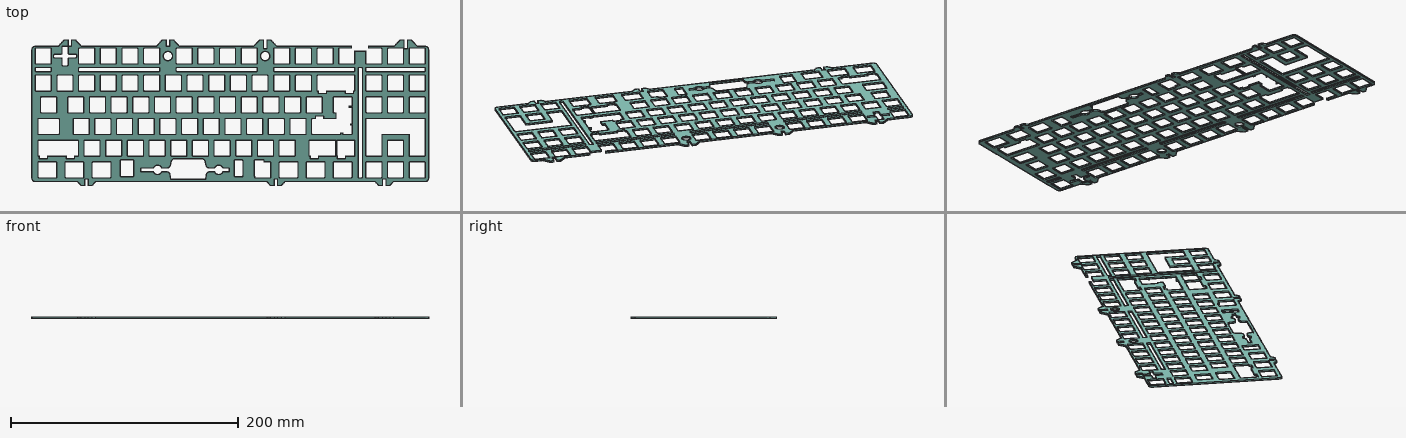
import cadquery as cq


length = 348.5
depth = 128.0
thickness = 1.5
plate_corner = 3.0
top_tab_height = 5.5
bottom_tab_height = 3.4

plate_right = length / 2
plate_left = -plate_right
tab_top = depth / 2
tab_bottom = -tab_top
plate_top = tab_top - top_tab_height
plate_bottom = tab_bottom + bottom_tab_height

first_key_x = -164.2
last_key_x = 164.2
last_column = 17 + 1 / 4
pitch = (last_key_x - first_key_x) / last_column
key_size = 14.0
half_key = key_size / 2
key_corner = 0.5

bottom_row = -50.2
shift_row = bottom_row + pitch
home_row = shift_row + pitch
tab_row = home_row + pitch
number_row = tab_row + pitch
function_row = number_row + (1 + 1 / 4) * pitch

navigation_columns = [last_column - 2, last_column - 1, last_column]

stabilizer_offset = 12.0
stabilizer_width = 7.0
stabilizer_reach = 9.0
flex_slot_width = 3.5


def column_x(column):
    return first_key_x + column * pitch


def block(x_min, x_max, y_min, y_max):
    """A through-plate box between the given sides."""
    return (
        cq.Workplane("XY")
        .box(x_max - x_min, y_max - y_min, thickness, centered=False)
        .translate((x_min, y_min, 0))
    )


def opening(x_min, x_max, y_min, y_max):
    """A rectangular cutter with rounded corners."""
    return block(x_min, x_max, y_min, y_max).edges("|Z").fillet(key_corner)


def key_opening(first, row, last=None):
    """One key opening, or one stretched to serve every key position from first to last."""
    last = first if last is None else last
    return opening(
        column_x(first) - half_key,
        column_x(last) + half_key,
        row - half_key,
        row + half_key,
    )


def disc(x, y, diameter):
    return cq.Workplane("XY").center(x, y).circle(diameter / 2).extrude(thickness)


def stabilizer_notch(x, row, direction):
    """A notch beside a key opening, reaching up (+1) or down (-1) from the row centre."""
    half = stabilizer_width / 2
    y_end = row + direction * stabilizer_reach
    return block(x - half, x + half, min(row, y_end), max(row, y_end))


def stabilizer_pair(column, row):
    x = column_x(column)
    return [stabilizer_notch(x + side * stabilizer_offset, row, -1) for side in (-1, 1)]


tab_tip_width = 9.8
tab_base_width = 20.2
bottom_tab_base_width = 16.0
tab_slot_width = 2.8
short_slot = top_tab_height
long_slot = 7.5
bottom_slot = 5.5
first_tab_x = -141.0
second_tab_x = -54.7
third_tab_x = 30.7
fourth_tab_x = 154.0
top_tabs = [
    (first_tab_x, short_slot),
    (second_tab_x, short_slot),
    (third_tab_x, long_slot),
    (fourth_tab_x, long_slot),
]
bottom_tab_centers = [-126.2, 40.0, 135.3]


def mounting_tab(x, base_y, tip_y, base_width):
    return (
        cq.Workplane("XY")
        .polyline([
            (x - base_width / 2, base_y),
            (x - tab_tip_width / 2, tip_y),
            (x + tab_tip_width / 2, tip_y),
            (x + base_width / 2, base_y),
        ])
        .close()
        .extrude(thickness)
    )


def tab_slot(x, y_min, y_max):
    half = tab_slot_width / 2
    return block(x - half, x + half, y_min, y_max)


plate = block(plate_left, plate_right, plate_bottom, plate_top).edges("|Z").fillet(plate_corner)
cutters = []

for tab_x, slot_depth in top_tabs:
    plate = plate.union(mounting_tab(tab_x, plate_top, tab_top, tab_base_width))
    cutters.append(tab_slot(tab_x, tab_top - slot_depth, tab_top))
for tab_x in bottom_tab_centers:
    plate = plate.union(mounting_tab(tab_x, plate_bottom, tab_bottom, bottom_tab_base_width))
    cutters.append(tab_slot(tab_x, tab_bottom, tab_bottom + bottom_slot))

key_rows = [
    (function_row, [0, 2, 3, 4, 5, 6.5, 7.5, 8.5, 9.5, 11, 12, 13, 14] + navigation_columns),
    (number_row, list(range(13)) + navigation_columns),
    (tab_row, [1 / 4] + [1.5 + n for n in range(12)] + navigation_columns),
    (home_row, [1 + 3 / 4 + n for n in range(11)]),
    (shift_row, [2 + 1 / 4 + n for n in range(10)] + [navigation_columns[1]]),
    (bottom_row, [10 + 1 / 8] + navigation_columns),
]
for row, columns in key_rows:
    cutters += [key_opening(column, row) for column in columns]

size_step = 1 / 8
for column in [1 / 8, 1 + 3 / 8, 2 + 5 / 8, 11 + 1 / 4, 12 + 1 / 2, 13 + 3 / 4]:
    cutters.append(key_opening(column, bottom_row, column + size_step))

backspace_column = 13.5
caps_lock_columns = (1 / 8, 3 / 8)
cutters.append(key_opening(caps_lock_columns[0], home_row, caps_lock_columns[1]))
cutters.append(key_opening(backspace_column - 0.5, number_row, backspace_column + 0.5))
cutters += stabilizer_pair(backspace_column, number_row)
left_shift_first = 1 / 8
left_shift_last = 1 + 1 / 4
left_shift_column = 5 / 8
cutters.append(key_opening(left_shift_first, shift_row, left_shift_last))
cutters += stabilizer_pair(left_shift_column, shift_row)

right_shift_first = 12 + 5 / 8
right_shift_last = 14
right_shift_column = 13 + 1 / 8
split_wall_x = 93.0
split_wall_width = 1.0
split_wall = block(
    split_wall_x - split_wall_width / 2,
    split_wall_x + split_wall_width / 2,
    shift_row - key_size,
    shift_row + key_size,
)
cutters.append(key_opening(right_shift_first, shift_row, right_shift_last).cut(split_wall))
cutters += stabilizer_pair(right_shift_column, shift_row)

enter_left_column = 12 + 3 / 4
enter_right_column = 13 + 7 / 8
enter_right = column_x(enter_right_column) + half_key
enter_floor = home_row - half_key
tooth_width = 1.0
upper_tooth_length = 2.5
upper_tooth_y = 5.2
lower_tooth_length = 1.5
lower_tooth_y = -10.5
floor_tooth_x = 98.0
floor_tooth_width = 2.0
floor_tooth_height = 1.5


def side_tooth(tooth_length, y):
    return block(enter_right - tooth_length, enter_right, y - tooth_width / 2, y + tooth_width / 2)


def enter_opening():
    upper = key_opening(enter_right_column - size_step, tab_row, enter_right_column)
    lower = key_opening(enter_left_column, home_row, enter_right_column)
    neck = block(column_x(enter_right_column) - half_key, enter_right, home_row, tab_row)
    floor_tooth = block(
        floor_tooth_x - floor_tooth_width / 2,
        floor_tooth_x + floor_tooth_width / 2,
        enter_floor,
        enter_floor + floor_tooth_height,
    )
    return (
        upper.union(lower)
        .union(neck)
        .cut(side_tooth(upper_tooth_length, upper_tooth_y))
        .cut(side_tooth(lower_tooth_length, lower_tooth_y))
        .cut(floor_tooth)
    )


cutters.append(enter_opening())
cutters.append(stabilizer_notch(column_x(enter_left_column), home_row, 1))

cutters.append(key_opening(navigation_columns[0], home_row, navigation_columns[-1]))
for column in (navigation_columns[0], navigation_columns[-1]):
    x = column_x(column)
    cutters.append(opening(x - half_key, x + half_key, shift_row - half_key, home_row))

flex_slot_y = (number_row + function_row) / 2
flex_slot_top = flex_slot_y + flex_slot_width / 2
for first, last in [(0, 0), (2, 5), (6.5, 9.5), (11, 14), (last_column - 2, last_column)]:
    cutters.append(
        opening(
            column_x(first) - half_key,
            column_x(last) + half_key,
            flex_slot_top - flex_slot_width,
            flex_slot_top,
        )
    )
side_slot_x = (column_x(14) + column_x(navigation_columns[0])) / 2
cutters.append(
    opening(
        side_slot_x - flex_slot_width / 2,
        side_slot_x + flex_slot_width / 2,
        bottom_row - half_key,
        flex_slot_top,
    )
)

gap_left = 106.7
gap_right = 121.5
gap_floor = 54.0
cutters.append(block(gap_left, gap_right, gap_floor, plate_top))

tab_hole_diameter = 8.0
for hole_x in (second_tab_x, third_tab_x):
    cutters.append(disc(hole_x, function_row, tab_hole_diameter))

cross_x = -145.0
cross_width = 20.2
cross_arm_height = 3.0
cross_arm_corner = 1.0
cross_height = 17.0
cross_post_width = 5.2
cross_inner_corner = 1.0


def rounded_bar(x, y, width, height, corner):
    return (
        cq.Workplane("XY")
        .center(x, y)
        .rect(width, height)
        .extrude(thickness)
        .edges("|Z")
        .fillet(corner)
    )


def corner_box(x, y, width, height):
    """Selects the upright edges inside a rectangle centred on (x, y)."""
    return cq.selectors.BoxSelector(
        (x - width / 2, y - height / 2, -thickness),
        (x + width / 2, y + height / 2, 2 * thickness),
    )


def cross_opening():
    arm = rounded_bar(cross_x, function_row, cross_width, cross_arm_height, cross_arm_corner)
    post = rounded_bar(cross_x, function_row, cross_post_width, cross_height, key_corner)
    inner_corners = corner_box(cross_x, function_row, 2 * cross_post_width, 2 * cross_arm_height)
    return arm.union(post).edges("|Z").edges(inner_corners).fillet(cross_inner_corner)


cutters.append(cross_opening())

relief_y = -48.8
relief_height = 14.5
for relief_x, relief_width in [(-90.5, 11.5), (7.3, 7.3), (25.5, 8.5)]:
    cutters.append(rounded_bar(relief_x, relief_y, relief_width, relief_height, key_corner))

bay_x = -37.0
bay_top = -40.5
bay_bottom = -58.2
bay_top_width = 28.5
bay_slot_width = 32.8
bay_bottom_width = 30.7
bay_top_corner = 3.0
bay_slot_corner = 3.0
space_slot_left = -78.5
space_slot_right = -1.0
space_slot_height = 3.0
space_hole_diameter = 8.0
space_hole_offset = 27.0


def space_bar_opening():
    right_side = [
        (bay_bottom_width / 2, bay_bottom),
        (bay_slot_width / 2, bottom_row),
        (bay_top_width / 2, bay_top),
    ]
    left_side = [(-x, y) for x, y in reversed(right_side)]
    bay = cq.Workplane("XY").polyline(right_side + left_side).close().extrude(thickness)
    bay = bay.translate((bay_x, 0, 0))
    slot = block(
        space_slot_left,
        space_slot_right,
        bottom_row - space_slot_height / 2,
        bottom_row + space_slot_height / 2,
    )
    slot_corners = corner_box(bay_x, bottom_row, bay_slot_width + bay_slot_corner, 2 * space_slot_height)
    cutter = bay.edges("|Z and >Y").fillet(bay_top_corner).union(slot)
    cutter = cutter.edges("|Z").edges(slot_corners).fillet(bay_slot_corner)
    for side in (-1, 1):
        cutter = cutter.union(disc(bay_x + side * space_hole_offset, bottom_row, space_hole_diameter))
    return cutter


cutters.append(space_bar_opening())

solid_plate = plate.val().cut(*[cutter.val() for cutter in cutters])
result = cq.Workplane("XY").newObject(solid_plate.Solids())